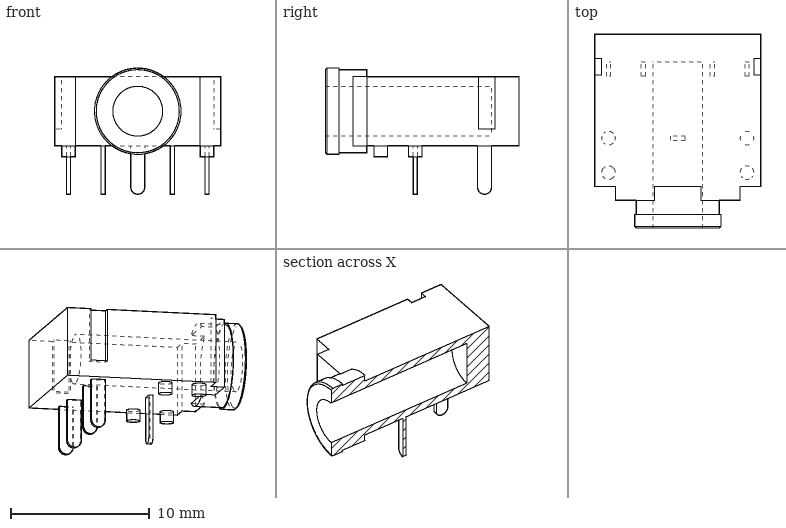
import cadquery as cq


length = 14.0
body_width = 12.0
body_height = 5.0
shoulder_y = 3.0
step_y = 2.0
step_width = 9.0

barrel_z = body_height / 2
neck_diameter = 6.0
collar_diameter = 6.25
collar_length = 1.0
collar_chamfer = 0.13
bore_diameter = 3.6
bore_depth = 12.0

slot_depth = 0.5
slot_width = 1.2
slot_y = 11.65
slot_floor_z = 1.2

pin_length = 3.5
pin_width = 1.02
pin_thickness = 0.32
rear_pin_y = 11.5
front_pin_y = 6.5
outer_x = 5.0
inner_x = outer_x / 2
peg_diameter = 0.98
peg_height = 0.8
peg_front_y = 4.0
embed = 0.14


def cylinder_along_y(diameter, start_y, end_y):
    """Cylinder on the barrel axis between two Y positions."""
    plane = cq.Plane(origin=(0, start_y, barrel_z), xDir=(1, 0, 0), normal=(0, 1, 0))
    return cq.Workplane(plane).circle(diameter / 2).extrude(end_y - start_y)


def make_housing():
    main = cq.Workplane("XY").box(
        body_width, length - shoulder_y, body_height, centered=(True, False, False)
    ).translate((0, shoulder_y, 0))
    step = cq.Workplane("XY").box(
        step_width, shoulder_y - step_y, body_height, centered=(True, False, False)
    ).translate((0, step_y, 0))
    housing = main.union(step)
    slot = cq.Workplane("XY").box(
        2 * slot_depth, slot_width, body_height - slot_floor_z, centered=(True, True, False)
    )
    for side in (-1, 1):
        housing = housing.cut(slot.translate((side * body_width / 2, slot_y, slot_floor_z)))
    return housing


def make_barrel():
    neck = cylinder_along_y(neck_diameter, collar_length, shoulder_y)
    collar = cylinder_along_y(collar_diameter, 0, collar_length)
    return neck.union(collar.faces("<Y").chamfer(collar_chamfer))


def make_pin():
    """Flat blade in the XZ plane with a fully rounded tip, centred on the Z axis."""
    radius = pin_width / 2
    return (
        cq.Workplane("XZ")
        .moveTo(-radius, embed)
        .lineTo(-radius, radius - pin_length)
        .threePointArc((0, -pin_length), (radius, radius - pin_length))
        .lineTo(radius, embed)
        .close()
        .extrude(pin_thickness / 2, both=True)
    )


result = make_housing().union(make_barrel())
result = result.cut(cylinder_along_y(bore_diameter, 0, bore_depth))

pin = make_pin()
rear_pin = pin.rotate((0, 0, 0), (0, 0, 1), 90)
result = result.union(pin.translate((0, front_pin_y, 0)))
for x in (-outer_x, -inner_x, inner_x, outer_x):
    result = result.union(rear_pin.translate((x, rear_pin_y, 0)))

peg = cq.Workplane("XY").workplane(offset=-peg_height).circle(peg_diameter / 2).extrude(peg_height + embed)
for x in (-outer_x, outer_x):
    for y in (peg_front_y, front_pin_y):
        result = result.union(peg.translate((x, y, 0)))